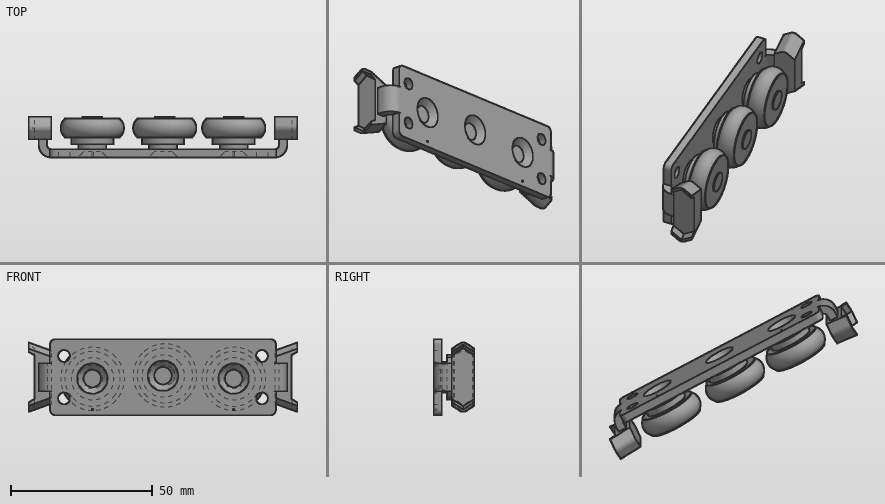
import cadquery as cq
import math

plate_length = 80.0
plate_height = 27.0
plate_thickness = 3.0
plate_corner_radius = 2.0

fixing_hole_diameter = 4.13
fixing_hole_x = 35.0
fixing_hole_z = 7.5
marker_hole_diameter = 0.5
marker_hole_z = -11.5

arm_height = 10.0
arm_inner_radius = 1.5
arm_outer_radius = arm_inner_radius + plate_thickness
arm_outer_x = 44.0
arm_bend_x = arm_outer_x - arm_outer_radius

roller_spacing = 25.0
side_axle_z = -0.5
middle_axle_z = 0.5
middle_wheel_offset_x = 0.6
middle_wheel_offset_z = 0.2
countersink_diameter = 10.8
countersink_floor_diameter = 6.15
countersink_depth = (countersink_diameter - countersink_floor_diameter) / 2
hub_diameter = 10.0
flange_diameter = 15.0
flange_start_y = 4.7
wheel_start_y = 7.0
wheel_end_y = 14.0
wheel_diameter = 22.5
wheel_side_diameter = 19.5
wheel_lip_width = 0.3
cap_diameter = 7.0
cap_end_y = 14.5

wiper_start_y = 6.5
wiper_width = 8.0
wiper_mid_y = wiper_start_y + wiper_width / 2
wiper_outer_x = 47.5
wiper_length = 8.0
wiper_inner_x = wiper_outer_x - wiper_length
wiper_shoulder_z = 10.1
wiper_roof_angle = 33.0
wiper_roof_rise = wiper_width / 2 * math.tan(math.radians(wiper_roof_angle))
wiper_ridge_radius = 2.0
wiper_flare_angle = 20.0
wiper_flare = wiper_length * math.tan(math.radians(wiper_flare_angle))
recess_depth = 2.0
recess_rim_shoulder_z = 8.9
recess_floor_shoulder_z = 7.7


def cylinder_y(diameter, start_y, end_y, x=0.0, z=0.0):
    """Cylinder along +Y between two y positions."""
    base_point = cq.Vector(x, start_y, z)
    direction = cq.Vector(0, 1, 0)
    return cq.Workplane(cq.Solid.makeCylinder(diameter / 2, end_y - start_y, base_point, direction))


def make_arm():
    """Left arm: quarter bend out of the plate end, then straight back to the wiper."""
    arm_inner_x = arm_outer_x - plate_thickness
    mid = math.cos(math.radians(45))
    return (
        cq.Workplane("XY")
        .workplane(offset=-arm_height / 2)
        .moveTo(-arm_bend_x, 0)
        .threePointArc(
            (-arm_bend_x - arm_outer_radius * mid, arm_outer_radius * (1 - mid)),
            (-arm_outer_x, arm_outer_radius),
        )
        .lineTo(-arm_outer_x, wiper_start_y)
        .lineTo(-arm_inner_x, wiper_start_y)
        .lineTo(-arm_inner_x, arm_outer_radius)
        .threePointArc(
            (-arm_bend_x - arm_inner_radius * mid, arm_outer_radius - arm_inner_radius * mid),
            (-arm_bend_x, plate_thickness),
        )
        .close()
        .extrude(arm_height)
    )


def make_plate(axle_points):
    """Plate notched for both arms, with countersinks, fixing holes and marker holes."""
    plate = (
        cq.Workplane("XY")
        .box(plate_length, plate_thickness, plate_height, centered=(True, False, True))
        .edges("|Y")
        .fillet(plate_corner_radius)
    )
    overlap_x = plate_length / 2 - arm_bend_x
    for side in (-1, 1):
        notch = cq.Workplane("XY").box(overlap_x, plate_thickness, arm_height, centered=(True, False, True))
        plate = plate.cut(notch.translate((side * (arm_bend_x + overlap_x / 2), 0, 0)))
    arm = make_arm()
    plate = plate.union(arm).union(arm.mirror("YZ"))
    for x, z in axle_points:
        countersink = cq.Solid.makeCone(
            countersink_diameter / 2,
            countersink_floor_diameter / 2,
            countersink_depth,
            cq.Vector(x, 0, z),
            cq.Vector(0, 1, 0),
        )
        plate = plate.cut(cq.Workplane(countersink))
    for x in (-fixing_hole_x, fixing_hole_x):
        for z in (-fixing_hole_z, fixing_hole_z):
            plate = plate.cut(cylinder_y(fixing_hole_diameter, 0, plate_thickness, x, z))
    for x in (-roller_spacing, roller_spacing):
        plate = plate.cut(cylinder_y(marker_hole_diameter, 0, plate_thickness, x, marker_hole_z))
    return plate


def make_roller(axle_x, axle_z, offset_x=0.0, offset_z=0.0):
    """Hub and flange on the axle, with a barrel wheel and end cap that can sit off the axle."""
    hub = cylinder_y(hub_diameter, plate_thickness, flange_start_y, axle_x, axle_z)
    flange = cylinder_y(flange_diameter, flange_start_y, wheel_start_y, axle_x, axle_z)
    wheel_x = axle_x + offset_x
    wheel_z = axle_z + offset_z
    wheel = (
        cq.Workplane("XY")
        .moveTo(0, wheel_start_y)
        .lineTo(wheel_side_diameter / 2, wheel_start_y)
        .lineTo(wheel_side_diameter / 2, wheel_start_y + wheel_lip_width)
        .threePointArc(
            (wheel_diameter / 2, (wheel_start_y + wheel_end_y) / 2),
            (wheel_side_diameter / 2, wheel_end_y - wheel_lip_width),
        )
        .lineTo(wheel_side_diameter / 2, wheel_end_y)
        .lineTo(0, wheel_end_y)
        .close()
        .revolve(360, (0, 0, 0), (0, 1, 0))
        .translate((wheel_x, 0, wheel_z))
    )
    cap = cylinder_y(cap_diameter, wheel_end_y, cap_end_y, wheel_x, wheel_z)
    return hub.union(flange).union(wheel).union(cap)


def wiper_outline(x, shoulder_z, ridge_radius=0.0):
    """Closed wire across X: straight sides, pointed at top and bottom, ridges rounded on request."""
    roof_angle = math.radians(wiper_roof_angle)
    peak_z = shoulder_z + wiper_roof_rise
    ridge_half_width = ridge_radius * math.sin(roof_angle)
    ridge_edge_z = peak_z - ridge_half_width * math.tan(roof_angle)
    ridge_top_z = ridge_edge_z + ridge_radius * (1 - math.cos(roof_angle))
    half_width = wiper_width / 2
    outline = cq.Workplane("YZ", origin=(x, wiper_mid_y, 0)).moveTo(half_width, shoulder_z)
    for side in (1, -1):
        if ridge_radius > 0:
            outline = outline.lineTo(side * ridge_half_width, side * ridge_edge_z).threePointArc(
                (0, side * ridge_top_z), (-side * ridge_half_width, side * ridge_edge_z)
            )
        else:
            outline = outline.lineTo(0, side * peak_z)
        outline = outline.lineTo(-side * half_width, side * shoulder_z)
        outline = outline.lineTo(-side * half_width, -side * shoulder_z)
    return outline.wire().val()


def make_wiper():
    """Left wiper: flared block with rounded ridges and a sloped recess in its outer face."""
    block = cq.Solid.makeLoft(
        [
            wiper_outline(-wiper_outer_x, wiper_shoulder_z, wiper_ridge_radius),
            wiper_outline(-wiper_inner_x, wiper_shoulder_z - wiper_flare, wiper_ridge_radius),
        ],
        True,
    )
    recess = cq.Solid.makeLoft(
        [
            wiper_outline(-wiper_outer_x, recess_rim_shoulder_z),
            wiper_outline(-wiper_outer_x + recess_depth, recess_floor_shoulder_z),
        ],
        True,
    )
    return cq.Workplane(block).cut(cq.Workplane(recess))


side_axles = [(-roller_spacing, side_axle_z), (roller_spacing, side_axle_z)]
middle_axle = (0.0, middle_axle_z)

plate = make_plate(side_axles + [middle_axle])
rollers = [make_roller(x, z) for x, z in side_axles]
rollers.append(make_roller(*middle_axle, middle_wheel_offset_x, middle_wheel_offset_z))
left_wiper = make_wiper()
wipers = [left_wiper, left_wiper.mirror("YZ")]

result = cq.Compound.makeCompound([body.val() for body in [plate, *rollers, *wipers]])